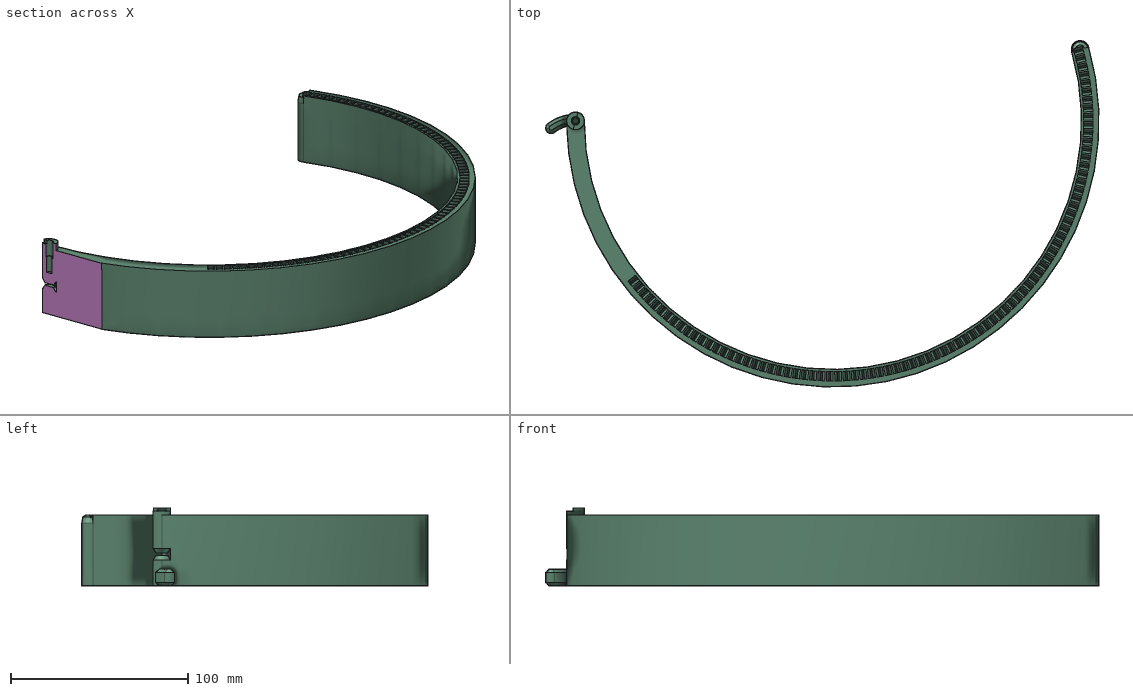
import cadquery as cq
import math

overall_length = 311.8
outer_radius = 150.0
thickness = 10.0
band_height = 40.0
hinge_angle = 180.0
tip_rise = 16.1
tip_angle = 360.0 + tip_rise
inner_radius = outer_radius - thickness
middle_radius = outer_radius - thickness / 2

draft_inset = 0.5
bevel_height = 1.2
bevel_inset = 2.0

knuckle_radius = thickness / 2
knuckle_height = 44.0
step_depth = 2.0
step_turn = tip_rise
hole_diameter = 4.7
hole_depth = 9.5
pin_hole_diameter = 3.5
pin_hole_depth = 18.7

slot_bottom = 14.5
slot_height = 6.2
cone_height = 2.5
cone_inset = 2.0

arm_width = 6.2
arm_height = 9.5
arm_chamfer = 2.0
arm_reach = overall_length - outer_radius
arm_start_y = 0.5
arm_drop = 4.7

tooth_pitch_angle = 1.87
groove_depth = 4.7
crest_width = 1.0
root_width = 1.0
teeth_start_angle = 217.5
last_groove_angle = 375.9
inner_rim = 1.2
outer_rim = 3.5


def polar(radius, degrees, center=(0.0, 0.0)):
    angle = math.radians(degrees)
    return (center[0] + radius * math.cos(angle), center[1] + radius * math.sin(angle))


hinge = polar(middle_radius, hinge_angle)
tip = polar(middle_radius, tip_angle)


def curved_bar(center, radius, width, start, end, height):
    """Bar along an arc, square at the start angle and fully rounded at the end angle."""
    outer = radius + width / 2
    inner = radius - width / 2
    middle = (start + end) / 2
    round_center = polar(radius, end, center)
    return (
        cq.Workplane("XY")
        .moveTo(*polar(outer, start, center))
        .threePointArc(polar(outer, middle, center), polar(outer, end, center))
        .threePointArc(polar(width / 2, end + 90, round_center), polar(inner, end, center))
        .threePointArc(polar(inner, middle, center), polar(inner, start, center))
        .close()
        .extrude(height)
    )


def cone(center, z, bottom_radius, top_radius, height):
    base = cq.Vector(*center, z)
    return cq.Workplane(obj=cq.Solid.makeCone(bottom_radius, top_radius, height, pnt=base))


def disc(center, radius, z, height):
    return cq.Workplane("XY", origin=(*center, z)).circle(radius).extrude(height)


def tip_cutter():
    """Half block beyond the tip's center, hollowed by the drafted and bevelled tip."""
    z = band_height - groove_depth
    block = (
        cq.Workplane("XY", origin=(0, thickness / 2, z))
        .rect(2 * thickness, thickness)
        .extrude(groove_depth)
        .rotate((0, 0, 0), (0, 0, 1), tip_angle)
        .translate((*tip, 0))
    )
    base_radius = thickness / 2
    drafted_radius = base_radius - draft_inset
    bevel_z = band_height - bevel_height
    draft = cone(tip, z, base_radius, drafted_radius, groove_depth - bevel_height)
    bevel = cone(tip, bevel_z, drafted_radius, drafted_radius - bevel_inset, bevel_height)
    return block.cut(draft).cut(bevel)


def groove_cutter():
    """All tapered grooves between the teeth, spaced evenly back from the tip."""
    half_width = (math.radians(tooth_pitch_angle) * middle_radius - crest_width) / 2
    groove = (
        cq.Workplane("XZ", origin=(0, inner_radius + inner_rim, band_height))
        .moveTo(-half_width, 0)
        .lineTo(half_width, 0)
        .lineTo(root_width / 2, -groove_depth)
        .lineTo(-root_width / 2, -groove_depth)
        .close()
        .extrude(-(thickness - inner_rim - outer_rim))
    )
    first = last_groove_angle
    count = int((first - teeth_start_angle) / tooth_pitch_angle) + 1
    grooves = [
        groove.rotate((0, 0, 0), (0, 0, 1), first - i * tooth_pitch_angle - 90).val() for i in range(count)
    ]
    return cq.Workplane(obj=cq.Compound.makeCompound(grooves))


def slot_cutter():
    slot = (
        cq.Workplane("XY", origin=(*hinge, slot_bottom))
        .rect(2 * knuckle_radius, 2 * knuckle_radius)
        .extrude(slot_height)
    )
    cone_tip = knuckle_radius - cone_inset
    lower = cone(hinge, slot_bottom, knuckle_radius, cone_tip, cone_height)
    upper = cone(hinge, slot_bottom + slot_height - cone_height, cone_tip, knuckle_radius, cone_height)
    return slot.cut(lower).cut(upper)


def step_cutter():
    """Takes the far half off the top of the knuckle, along a line turned out of the YZ plane."""
    return (
        cq.Workplane("XY", origin=(-thickness / 2, 0, knuckle_height - step_depth))
        .rect(thickness, 2 * thickness)
        .extrude(step_depth)
        .rotate((0, 0, 0), (0, 0, 1), -step_turn)
        .translate((*hinge, 0))
    )


def hook_arm():
    """Arc that leaves the knuckle square to the band and bends down to a rounded end."""
    run = arm_reach - middle_radius - arm_width / 2
    radius = (run**2 + arm_drop**2) / (2 * arm_drop)
    sweep = math.degrees(math.asin(run / radius))
    center = (hinge[0], arm_start_y - radius)
    arm = curved_bar(center, radius, arm_width, 90.0, 90.0 + sweep, arm_height)
    return arm.faces("|Z").edges().chamfer(arm_chamfer)


band = curved_bar((0.0, 0.0), middle_radius, thickness, hinge_angle, tip_angle, band_height)
band = band.cut(tip_cutter()).cut(groove_cutter())

result = band.union(disc(hinge, knuckle_radius, 0, knuckle_height)).cut(slot_cutter()).cut(step_cutter())
result = result.union(hook_arm())
result = result.cut(disc(hinge, hole_diameter / 2, knuckle_height - hole_depth, hole_depth))
result = result.cut(disc(hinge, pin_hole_diameter / 2, knuckle_height - pin_hole_depth, pin_hole_depth))